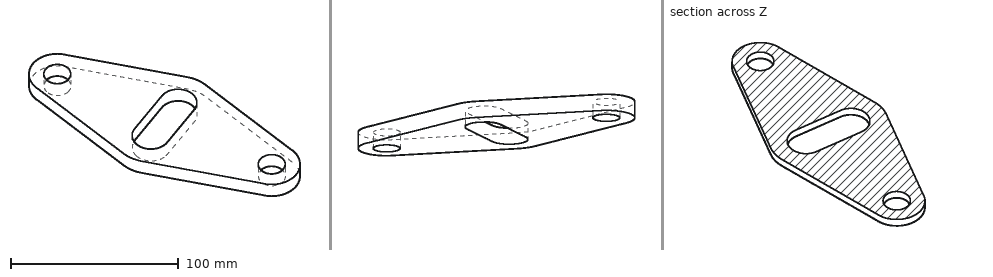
import cadquery as cq
import math

length = 182.0
width = 76.0
thickness = 10.0
end_radius = 17.0
hole_diameter = 16.0
slot_length = 54.2
slot_width = 22.4
crown_radius = 22.5
crown_half_length = 6.4
end_corner_offset = 3.0

hole_offset = length / 2 - end_radius
end_corner_x = hole_offset + end_corner_offset
end_corner_y = math.sqrt(end_radius**2 - end_corner_offset**2)
crown_top = width / 2
crown_drop = crown_radius - math.sqrt(crown_radius**2 - crown_half_length**2)
crown_edge_y = crown_top - crown_drop


def make_plate():
    """Diamond-shaped plate with round ends and rounded wide corners."""
    return (
        cq.Workplane("XY")
        .moveTo(-crown_half_length, crown_edge_y)
        .threePointArc((0, crown_top), (crown_half_length, crown_edge_y))
        .lineTo(end_corner_x, end_corner_y)
        .threePointArc((length / 2, 0), (end_corner_x, -end_corner_y))
        .lineTo(crown_half_length, -crown_edge_y)
        .threePointArc((0, -crown_top), (-crown_half_length, -crown_edge_y))
        .lineTo(-end_corner_x, -end_corner_y)
        .threePointArc((-length / 2, 0), (-end_corner_x, end_corner_y))
        .close()
        .extrude(thickness)
    )


def cut_openings(plate):
    """Cut a round hole at each end and the crosswise central slot."""
    return (
        plate.faces(">Z")
        .workplane(origin=(0, 0, thickness))
        .pushPoints([(-hole_offset, 0), (hole_offset, 0)])
        .hole(hole_diameter)
        .faces(">Z")
        .workplane(origin=(0, 0, thickness))
        .slot2D(slot_length, slot_width, angle=90)
        .cutThruAll()
    )


result = cut_openings(make_plate())